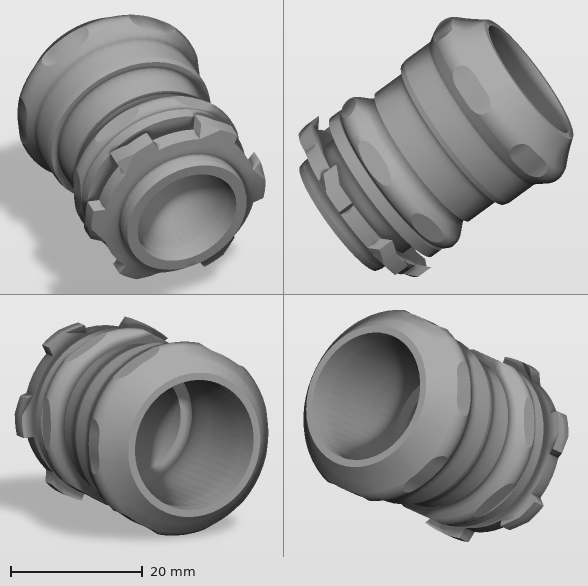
import cadquery as cq
import math


sides = 6
conduit_radius = 20 / 2
throat_radius = 16.2 / 2
total_length = 36.35
thread_radius = 20.1 / 2

nut_face_radius = 11.12
crown_start = 3.78
crown_peak = 5.4
crown_end = 6.65
crown_end_radius = 14.65
crown_radius = 29.8 / 2
nose_mid_x = 1.85
nose_mid_radius = 12.55
shoulder_end = 8.5
shoulder_radius = 13.52
skirt_start = 8.75
skirt_radius = 26.8 / 2
nut_chamfer_start = 13.52
nut_length = 14.4
nut_end_radius = 13.15

pad_floor_radius = 14.3
pad_half_width = 1.8
pad_end_half_width = 4.3
pad_clearance = 1.45

barrel_radius = 24.1 / 2
barrel_end = 20.3
relief_radius = 22.9 / 2
relief_end = 20.83
flange_start = 21.52
flange_start_radius = 11.67
ridge_start = 22.97
ridge_start_radius = 13.0
ridge_peak = 24.43
ridge_radius = 13.65
flange_end = 26.3
flange_end_radius = 12.18
flats_across = 26.1
flange_band_radius = 16.35
spout_chamfer_start = 35.45
spout_end_radius = 9.8

seal_radius = flats_across / 2
seal_thickness = 1.9
seal_end = flange_end + seal_thickness

locknut_thickness = 2.47
locknut_crown = 33.8
dome_radius = 67.25
web_radius = 12.58
lobe_radius = 28.6 / 2
lobe_width = 6.35
tooth_fold_offset = 0.25
tooth_bend = 1.2
tooth_overshoot = 1.2


def around_axis(shape):
    """Copies of a shape at equal angles about the X axis."""
    return [shape.rotate((0, 0, 0), (1, 0, 0), 360 / sides * i) for i in range(sides)]


def revolve_about_x(profile):
    """Revolve a closed (axial, radial) profile about the X axis."""
    return profile.close().revolve(360, (0, 0, 0), (1, 0, 0))


def tube(start, end, outer_radius, inner_radius):
    """Plain tube along the X axis."""
    ring = cq.Workplane("YZ", origin=(start, 0, 0)).circle(outer_radius).circle(inner_radius)
    return ring.extrude(end - start)


def wrench_pad_cutter():
    """Space above one pad: a convex floor that sweeps up to the crown at both ends."""
    floor_height = math.sqrt(pad_floor_radius**2 - pad_half_width**2)
    end_height = math.sqrt(crown_radius**2 - pad_end_half_width**2)
    clear_height = crown_radius + pad_clearance

    tilt = math.asin(pad_half_width / pad_floor_radius)
    run = pad_end_half_width - pad_half_width
    rise = end_height - floor_height
    sweep_radius = (run**2 + rise**2) / (2 * (rise * math.cos(tilt) + run * math.sin(tilt)))
    return (
        cq.Workplane("YZ", origin=(crown_start, 0, 0))
        .moveTo(end_height, -pad_end_half_width)
        .radiusArc((floor_height, -pad_half_width), sweep_radius)
        .threePointArc((pad_floor_radius, 0), (floor_height, pad_half_width))
        .radiusArc((end_height, pad_end_half_width), sweep_radius)
        .lineTo(clear_height, pad_end_half_width)
        .lineTo(clear_height, -pad_end_half_width)
        .close()
        .extrude(shoulder_end - crown_start)
    )


def make_compression_nut():
    """Flared nut with a rounded crown, wrench pads and a plain skirt."""
    nut = revolve_about_x(
        cq.Workplane("XY")
        .moveTo(0, conduit_radius)
        .lineTo(0, nut_face_radius)
        .threePointArc((nose_mid_x, nose_mid_radius), (crown_start, pad_floor_radius))
        .threePointArc((crown_peak, crown_radius), (crown_end, crown_end_radius))
        .lineTo(shoulder_end, shoulder_radius)
        .tangentArcPoint((skirt_start, skirt_radius), relative=False)
        .lineTo(nut_chamfer_start, skirt_radius)
        .lineTo(nut_length, nut_end_radius)
        .lineTo(nut_length, conduit_radius)
    )
    for cutter in around_axis(wrench_pad_cutter()):
        nut = nut.cut(cutter)
    return nut


def make_connector_body():
    """Barrel with a conduit socket, a wrench flange and a threaded spout."""
    body = revolve_about_x(
        cq.Workplane("XY")
        .moveTo(nut_length, conduit_radius)
        .lineTo(nut_length, barrel_radius)
        .lineTo(barrel_end, barrel_radius)
        .lineTo(barrel_end, relief_radius)
        .lineTo(relief_end, relief_radius)
        .tangentArcPoint((flange_start, flange_start_radius), relative=False)
        .lineTo(ridge_start, ridge_start_radius)
        .threePointArc((ridge_peak, ridge_radius), (flange_end, flange_end_radius))
        .lineTo(flange_end, thread_radius)
        .lineTo(spout_chamfer_start, thread_radius)
        .lineTo(total_length, spout_end_radius)
        .lineTo(total_length, throat_radius)
        .lineTo(flange_start, throat_radius)
        .lineTo(flange_start, conduit_radius)
    )
    hexagon = (
        cq.Workplane("YZ", origin=(flange_start, 0, 0))
        .polygon(sides, flats_across, circumscribed=True)
        .extrude(flange_end - flange_start)
    )
    flange_band = tube(flange_start, flange_end, flange_band_radius, conduit_radius)
    return body.cut(flange_band.cut(hexagon))


def make_sealing_ring():
    """Flat ring on the spout, against the flange."""
    return tube(flange_end, seal_end, seal_radius, thread_radius)


def dome_x(radius):
    """Axial position of the locknut's domed outer face at a given radius."""
    drop = math.sqrt(dome_radius**2 - thread_radius**2) - math.sqrt(dome_radius**2 - radius**2)
    return locknut_crown - drop


def lobe_outline():
    """Prism with the outline of one parallel-sided lobe, on the +Y side."""
    start = seal_end
    length = total_length - start
    bar = (
        cq.Workplane("YZ", origin=(start, 0, 0))
        .center(lobe_radius / 2, 0)
        .rect(lobe_radius, lobe_width)
        .extrude(length)
    )
    rim = cq.Workplane("YZ", origin=(start, 0, 0)).circle(lobe_radius).extrude(length)
    return bar.intersect(rim)


def make_locknut():
    """Domed ring with evenly spaced lobes, each with one corner bent towards the flange as a tooth."""
    mid_radius = (thread_radius + lobe_radius) / 2
    disc = revolve_about_x(
        cq.Workplane("XY")
        .moveTo(dome_x(thread_radius), thread_radius)
        .threePointArc((dome_x(mid_radius), mid_radius), (dome_x(lobe_radius), lobe_radius))
        .lineTo(dome_x(lobe_radius) - locknut_thickness, lobe_radius)
        .threePointArc(
            (dome_x(mid_radius) - locknut_thickness, mid_radius),
            (dome_x(thread_radius) - locknut_thickness, thread_radius),
        )
    )
    lobe = lobe_outline()
    outline = tube(seal_end, total_length, web_radius, thread_radius)
    for copy in around_axis(lobe):
        outline = outline.union(copy)
    locknut = disc.intersect(outline)

    half_width = lobe_width / 2
    root = cq.Vector(dome_x(web_radius), math.sqrt(web_radius**2 - half_width**2), half_width)
    rim_point = cq.Vector(
        dome_x(lobe_radius), math.sqrt(lobe_radius**2 - tooth_fold_offset**2), tooth_fold_offset
    )
    tip = cq.Vector(
        dome_x(lobe_radius) - tooth_bend, math.sqrt(lobe_radius**2 - half_width**2), half_width
    )
    rim_corner = root + (rim_point - root) * tooth_overshoot
    tip_corner = root + (tip - root) * tooth_overshoot

    def triangle_prism(shift, length):
        """Extrude the tooth's triangle along X, starting at an axial shift from its outer face."""
        wire = cq.Wire.makePolygon([root, rim_corner, tip_corner], close=True)
        prism = cq.Solid.extrudeLinear(wire, [], cq.Vector(length, 0, 0))
        return cq.Workplane(prism.translate(cq.Vector(shift, 0, 0)))

    clearance = 2 * locknut_thickness
    corner = triangle_prism(-clearance, 2 * clearance)
    tooth = triangle_prism(-locknut_thickness, locknut_thickness).intersect(lobe)
    for copy in around_axis(corner):
        locknut = locknut.cut(copy)
    for copy in around_axis(tooth):
        locknut = locknut.union(copy)
    return locknut


compression_nut = make_compression_nut()
connector_body = make_connector_body()
sealing_ring = make_sealing_ring()
locknut = make_locknut()

result = cq.Compound.makeCompound(
    [compression_nut.val(), connector_body.val(), sealing_ring.val(), locknut.val()]
)